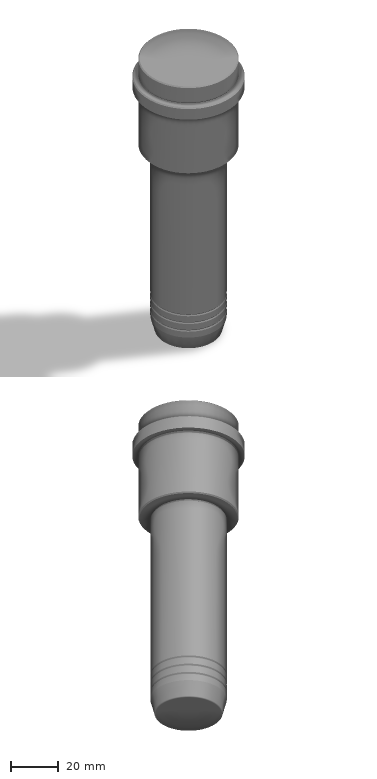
import cadquery as cq
import math

total_length = 140.0

body_radius = 21.0
flange_radius = 23.5
cap_height = 9.0
flange_height = 6.0
head_height = 45.0
edge_chamfer = 0.5

shank_radius = 16.0
neck_length = 1.0
neck_depth = 0.5

nose_height = 7.0
nose_angle = 15.0
nose_edge_fillet = 0.5

groove_width = 1.0
groove_depth = 0.35
oil_groove_count = 3
oil_groove_pitch = 4.0
first_oil_groove_height = 10.5

head_bottom = total_length - head_height
flange_top = total_length - cap_height
flange_bottom = flange_top - flange_height


def disc(radius, bottom, top):
    """Solid cylinder on the Z axis between two levels."""
    return cq.Workplane("XY").workplane(offset=bottom).circle(radius).extrude(top - bottom)


def revolve_profile(points):
    """Solid of revolution about Z from (radius, height) points."""
    return cq.Workplane("XZ").polyline(points).close().revolve(360, (0, 0, 0), (0, 1, 0))


def v_groove(radius, mid_height):
    """Ring of triangular section that cuts a V-groove into a cylinder of the given radius."""
    half_width = groove_width / 2
    return revolve_profile([
        (radius, mid_height - half_width),
        (radius - groove_depth, mid_height),
        (radius, mid_height + half_width),
    ])


def make_shank():
    """Shank with a tapered nose, oil grooves and a relief neck under the head."""
    nose_end_radius = shank_radius - nose_height * math.tan(math.radians(nose_angle))
    neck_bottom = head_bottom - neck_length
    neck_radius = shank_radius - neck_depth
    shank = revolve_profile([
        (0, 0),
        (nose_end_radius, 0),
        (shank_radius, nose_height),
        (shank_radius, neck_bottom),
        (neck_radius, neck_bottom),
        (neck_radius, head_bottom),
        (0, head_bottom),
    ])
    shank = shank.faces("<Z").edges().fillet(nose_edge_fillet)
    for index in range(oil_groove_count):
        height = first_oil_groove_height + index * oil_groove_pitch
        shank = shank.cut(v_groove(shank_radius, height))
    return shank


def make_head():
    """Body and flange with chamfered edges and an undercut at each flange face."""
    body = disc(body_radius, head_bottom, total_length).edges().chamfer(edge_chamfer)
    for height in (flange_bottom - groove_width / 2, flange_top + groove_width / 2):
        body = body.cut(v_groove(body_radius, height))
    flange = disc(flange_radius, flange_bottom, flange_top).faces(">Z").chamfer(edge_chamfer)
    return body.union(flange)


result = make_shank().union(make_head())